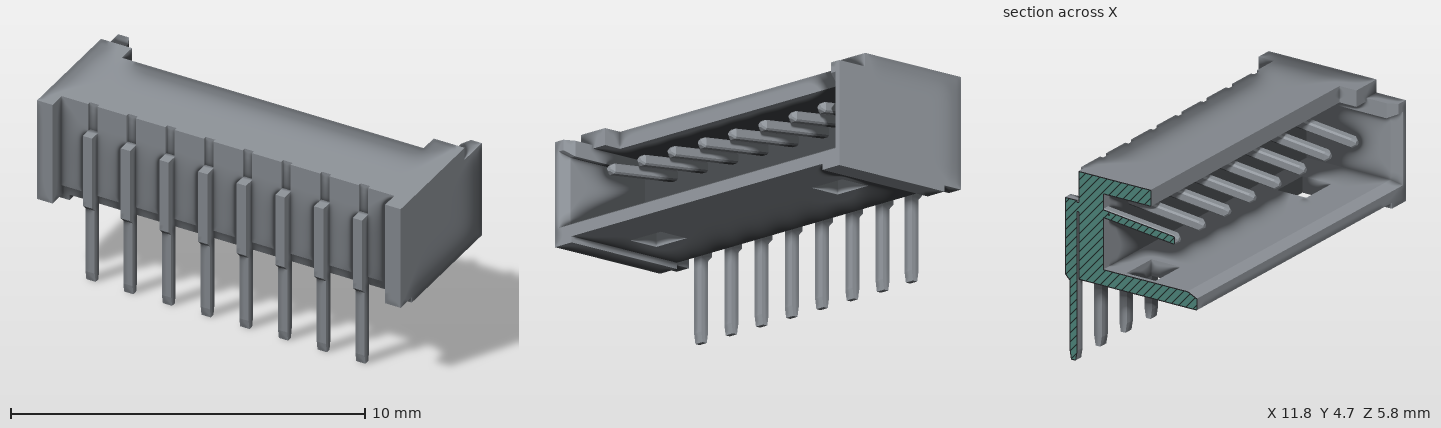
import cadquery as cq

LENGTH = 11.75
DEPTH = 4.7
FOOT_BOTTOM = -3.48
BODY_BOTTOM = -3.3

FLANGE_WIDTH = 0.5
RECESS_DEPTH = 0.53
UNDERCUT_TOP = -2.98
UNDERCUT_DEPTH = 0.64
FOOT_WIDTH = 0.69

REAR_STEP_LENGTH = 1.0
REAR_STEP_HEIGHT = 0.4
ROOF_NOTCH_DEPTH = 1.58
ROOF_NOTCH_INSET = 1.0

CAVITY_FRONT = 1.5
CAVITY_TOP = -0.5
CAVITY_BOTTOM = -2.8
LIP_BOTTOM = -0.86
LIP_WALL = 0.5
LOWER_WALL = 0.3
LEAD_IN_LENGTH = 0.32
LEAD_IN_WIDTH = 0.15

WINDOW_INSET = 1.51
WINDOW_REAR = DEPTH - WINDOW_INSET
WINDOW_LENGTH = 1.0

PIN_COUNT = 8
PITCH = 1.25
PIN_WIDTH = 0.3
PIN_TOP = -0.9
PIN_BOTTOM = -5.8
FIRST_PIN_OFFSET = 0.05
PIN_REAR = UNDERCUT_DEPTH - FIRST_PIN_OFFSET
UPPER_LEG_FRONT = 0.18
LOWER_LEG_FRONT = 0.33
LEG_STEP_TOP = -3.24
LEG_STEP_BOTTOM = -3.4
LEG_TIP_LENGTH = 0.3
LEG_TIP_TAPER = 0.05
ARM_END_INSET = 0.68
ARM_END = DEPTH - ARM_END_INSET
ARM_TOP_STEP = 0.05
ARM_TOP = PIN_TOP - ARM_TOP_STEP
ARM_DROP = 0.25
ARM_TIP_LENGTH = 0.12
ARM_TIP_INSET = 0.08
ARM_EDGE_CHAMFER = 0.05

FIRST_PIN_X = (LENGTH - (PIN_COUNT - 1) * PITCH) / 2
PIN_XS = [FIRST_PIN_X + i * PITCH for i in range(PIN_COUNT)]


def block(x0, x1, y0, y1, z0, z1):
    """Box between opposite corner coordinates."""
    return cq.Workplane("XY").box(x1 - x0, y1 - y0, z1 - z0, centered=False).translate((x0, y0, z0))


def cavity_section(y, top, growth):
    """Stepped cavity outline up to top in the plane at y, its walls, ledges and floor moved out by growth."""
    lip_x = LIP_WALL - growth
    wall_x = LOWER_WALL - growth
    ledge = LIP_BOTTOM + growth
    bottom = CAVITY_BOTTOM - growth
    points = [
        (lip_x, top),
        (LENGTH - lip_x, top),
        (LENGTH - lip_x, ledge),
        (LENGTH - wall_x, ledge),
        (LENGTH - wall_x, bottom),
        (wall_x, bottom),
        (wall_x, ledge),
        (lip_x, ledge),
    ]
    return cq.Workplane("XZ", origin=(0, y, 0)).polyline(points).close()


def cavity():
    """Straight cavity plus the flared lead-in at its mouth, which is open at the top."""
    straight = cavity_section(DEPTH, CAVITY_TOP, 0).extrude(DEPTH - CAVITY_FRONT)
    inner = cavity_section(DEPTH - LEAD_IN_LENGTH, 0, 0).wires().val()
    outer = cavity_section(DEPTH, 0, LEAD_IN_WIDTH).wires().val()
    lead_in = cq.Solid.makeLoft([inner, outer], True)
    return straight.union(cq.Workplane(lead_in))


def shape_front(body):
    """Recess the front face between the flanges and undercut it, leaving a foot at each end."""
    flange_right = LENGTH - FLANGE_WIDTH
    foot_right = LENGTH - FOOT_WIDTH
    body = body.cut(block(FLANGE_WIDTH, flange_right, 0, RECESS_DEPTH, FOOT_BOTTOM, 0))
    body = body.cut(block(FLANGE_WIDTH, flange_right, 0, UNDERCUT_DEPTH, FOOT_BOTTOM, UNDERCUT_TOP))
    body = body.cut(block(0, LENGTH, 0, UNDERCUT_DEPTH, FOOT_BOTTOM, BODY_BOTTOM))
    return body.cut(block(FOOT_WIDTH, foot_right, 0, DEPTH, FOOT_BOTTOM, BODY_BOTTOM))


def shape_rear(body):
    """Step the end walls down, notch the roof and hollow out the mating cavity."""
    step_front = DEPTH - REAR_STEP_LENGTH
    notch_front = DEPTH - ROOF_NOTCH_DEPTH
    notch_right = LENGTH - ROOF_NOTCH_INSET
    lip_right = LENGTH - LIP_WALL
    body = body.cut(block(0, LENGTH, step_front, DEPTH, -REAR_STEP_HEIGHT, 0))
    body = body.cut(block(ROOF_NOTCH_INSET, notch_right, notch_front, DEPTH, CAVITY_TOP, 0))
    body = body.cut(block(LIP_WALL, lip_right, step_front, DEPTH, CAVITY_TOP, 0))
    return body.cut(cavity())


def cut_floor_windows(body):
    """Open the floor between the first two and the last two pins."""
    front = WINDOW_REAR - WINDOW_LENGTH
    for left_x in (PIN_XS[0], PIN_XS[-2]):
        body = body.cut(block(left_x, left_x + PITCH, front, WINDOW_REAR, BODY_BOTTOM, CAVITY_BOTTOM))
    return body


def cut_pin_grooves(body):
    """Cut a vertical groove in the recessed front face for each pin."""
    half = PIN_WIDTH / 2
    for x in PIN_XS:
        body = body.cut(block(x - half, x + half, RECESS_DEPTH, UNDERCUT_DEPTH, UNDERCUT_TOP, 0))
    return body


def housing():
    body = block(0, LENGTH, 0, DEPTH, FOOT_BOTTOM, 0)
    body = shape_front(body)
    body = shape_rear(body)
    body = cut_floor_windows(body)
    return cut_pin_grooves(body)


def pin_leg():
    """Vertical solder leg, centred on X = 0."""
    tip_top = PIN_BOTTOM + LEG_TIP_LENGTH
    profile = [
        (UPPER_LEG_FRONT, PIN_TOP),
        (PIN_REAR, PIN_TOP),
        (PIN_REAR, tip_top),
        (PIN_REAR - LEG_TIP_TAPER, PIN_BOTTOM),
        (LOWER_LEG_FRONT + LEG_TIP_TAPER, PIN_BOTTOM),
        (LOWER_LEG_FRONT, tip_top),
        (LOWER_LEG_FRONT, LEG_STEP_BOTTOM),
        (UPPER_LEG_FRONT, LEG_STEP_TOP),
    ]
    return cq.Workplane("YZ").polyline(profile).close().extrude(PIN_WIDTH / 2, both=True)


def arm_section(y, drop, inset):
    """Chamfered square outline of the contact arm in the plane at y, lowered by drop and shrunk by inset."""
    half = PIN_WIDTH / 2 - inset
    flat = half - ARM_EDGE_CHAMFER
    points = [
        (flat, half),
        (half, flat),
        (half, -flat),
        (flat, -half),
        (-flat, -half),
        (-half, -flat),
        (-half, flat),
        (-flat, half),
    ]
    centre_z = ARM_TOP - PIN_WIDTH / 2 - drop
    return cq.Workplane("XZ", origin=(0, y, centre_z)).polyline(points).close().wires().val()


def pin_arm():
    """Horizontal contact arm with chamfered long edges, sloping slightly down to a blunt tapered tip."""
    shoulder = ARM_END - ARM_TIP_LENGTH
    root = block(-PIN_WIDTH / 2, PIN_WIDTH / 2, PIN_REAR, CAVITY_FRONT, ARM_TOP - PIN_WIDTH, ARM_TOP)
    sections = [
        arm_section(CAVITY_FRONT, 0, 0),
        arm_section(shoulder, ARM_DROP, 0),
        arm_section(ARM_END, ARM_DROP, ARM_TIP_INSET),
    ]
    arm = cq.Workplane(cq.Solid.makeLoft(sections, True))
    return root.union(arm)


def pins():
    pin = pin_leg().union(pin_arm())
    group = pin.translate((PIN_XS[0], FIRST_PIN_OFFSET, 0))
    for x in PIN_XS[1:]:
        group = group.union(pin.translate((x, 0, 0)))
    return group


result = housing().union(pins())